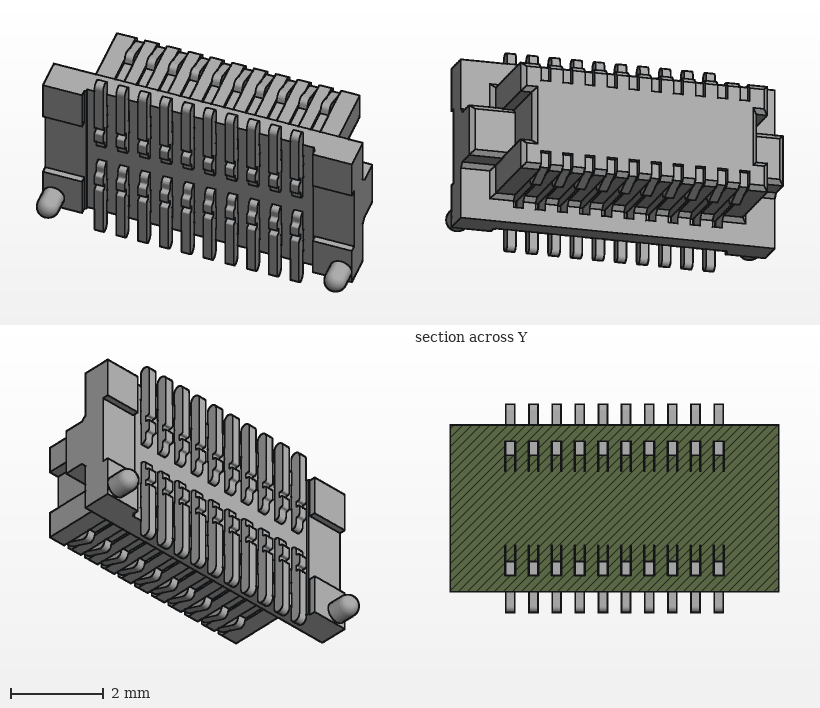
import cadquery as cq
import math


length = 7.1
flange_height = 3.61
flange_top_y = 0.7
shell_length = 5.58
shell_height = 2.4
shell_top_y = 2.705
edge_chamfer = 0.11
end_recess_depth = 0.25
end_recess_height = 1.09
wing_height = 1.135
wing_top_y = 1.405

foot_length = 0.9
foot_gap_height = 1.69
flange_back_y = 0.15
contact_recess_length = 5.21
contact_recess_y = 0.205

peg_diameter = 0.5
peg_end_y = -0.595
peg_z = -1.5

contacts_per_row = 10
row_span = 4.5
contact_pitch = row_span / (contacts_per_row - 1)
contact_width = 0.2
slot_clearance = 0.01
slot_inner_z = 0.8
slot_outer_z = 1.45

solder_face_y = -0.04
solder_thickness = 0.26
solder_tip_z = 2.25
notch_y = 0.065
notch_outer_z = 0.92
notch_inner_z = 0.795
pad_inner_z = 0.505
tail_end_z = 0.25
leg_outer_z = 1.15
leg_top_y = 2.585
leg_top_z = 1.135
bump_foot_y = 1.845
bump_corner_y = 1.92
bump_corner_z = 1.37

bump_radius = 0.13
tail_radius = 0.11
notch_outer_radius = 0.04
notch_inner_radius = 0.04
pad_step_radius = 0.05
notch_floor_radius = 0.02


def block(size_x, size_z, y_start, y_end, center_x=0.0, center_z=0.0):
    """Box given by its X and Z sizes and the Y levels it spans."""
    box = cq.Workplane("XY").box(size_x, y_end - y_start, size_z)
    return box.translate((center_x, (y_start + y_end) / 2, center_z))


def base_flare(size_x, size_z):
    """Skirt that widens at 45 degrees from a block of this size down to the flange."""
    skirt_top_y = flange_top_y + edge_chamfer
    skirt = block(size_x + 2 * edge_chamfer, size_z + 2 * edge_chamfer, contact_recess_y, skirt_top_y)
    return skirt.faces(">Y").chamfer(edge_chamfer)


def make_shell():
    """Upright plug body with a recess down the middle of each end."""
    shell = block(shell_length, shell_height, contact_recess_y, shell_top_y)
    for side in (-1, 1):
        recess_x = side * (shell_length - end_recess_depth) / 2
        recess = block(end_recess_depth, end_recess_height, contact_recess_y, shell_top_y, recess_x)
        shell = shell.cut(recess)
    return shell.faces(">Y").chamfer(edge_chamfer)


def make_housing():
    """Flange, end wings and shell, hollowed behind to leave a foot in each corner."""
    flange = block(length, flange_height, 0, flange_top_y)
    wings = block(length, wing_height, 0, wing_top_y).faces(">Y").chamfer(edge_chamfer)
    housing = flange.union(wings).union(make_shell())

    flares = base_flare(shell_length, shell_height).union(base_flare(length, wing_height))
    flare_limits = block(length, flange_height, 0, shell_top_y)
    housing = housing.union(flares.intersect(flare_limits))

    housing = housing.cut(block(length - 2 * foot_length, flange_height, 0, flange_back_y))
    housing = housing.cut(block(length, foot_gap_height, 0, flange_back_y))
    return housing.cut(block(contact_recess_length, flange_height, 0, contact_recess_y))


def make_peg(center_x):
    """Round pin with a hemispherical end, rooted in a foot."""
    radius = peg_diameter / 2
    dome_y = peg_end_y + radius
    dome_middle = (radius * math.sqrt(0.5), dome_y - radius * math.sqrt(0.5))
    half_section = (
        cq.Workplane("XY")
        .moveTo(0, flange_back_y)
        .lineTo(radius, flange_back_y)
        .lineTo(radius, dome_y)
        .threePointArc(dome_middle, (0, peg_end_y))
        .close()
    )
    pin = half_section.revolve(360, (0, 0, 0), (0, 1, 0))
    return pin.translate((center_x, 0, peg_z))


def make_slot():
    """Through slot that holds one upper-row contact, at X = 0."""
    slot_width = contact_width + 2 * slot_clearance
    slot_height = slot_outer_z - slot_inner_z
    return block(slot_width, slot_height, 0, shell_top_y, center_z=(slot_outer_z + slot_inner_z) / 2)


def make_contact():
    """Upper-row contact at X = 0: a solder tail along Z and a leg along Y with a latching bump."""
    solder_back_y = solder_face_y + solder_thickness
    tip_radius = solder_thickness / 2
    tip_start_z = solder_tip_z - tip_radius
    corners_after_tip = [
        (solder_face_y, notch_outer_z),
        (notch_y, notch_outer_z),
        (notch_y, notch_inner_z),
        (solder_face_y, notch_inner_z),
        (solder_face_y, pad_inner_z),
        (notch_y, pad_inner_z),
        (notch_y, tail_end_z),
        (solder_back_y, tail_end_z),
        (solder_back_y, slot_inner_z),
        (leg_top_y, slot_inner_z),
        (leg_top_y, leg_top_z),
        (bump_corner_y, bump_corner_z),
        (bump_foot_y, leg_outer_z),
        (solder_back_y, leg_outer_z),
    ]
    contact = (
        cq.Workplane("YZ")
        .moveTo(solder_back_y, tip_start_z)
        .threePointArc((solder_face_y + tip_radius, solder_tip_z), (solder_face_y, tip_start_z))
        .polyline(corners_after_tip, includeCurrent=True)
        .close()
        .extrude(contact_width / 2, both=True)
    )
    roundings = [
        (solder_face_y, notch_outer_z, notch_outer_radius),
        (notch_y, notch_outer_z, notch_floor_radius),
        (notch_y, notch_inner_z, notch_floor_radius),
        (solder_face_y, notch_inner_z, notch_inner_radius),
        (solder_face_y, pad_inner_z, pad_step_radius),
        (notch_y, pad_inner_z, pad_step_radius),
        (notch_y, tail_end_z, tail_radius),
        (bump_corner_y, bump_corner_z, bump_radius),
    ]
    for y, z, radius in roundings:
        corner = cq.selectors.NearestToPointSelector((0, y, z))
        contact = contact.edges("|X").edges(corner).fillet(radius)
    return contact


def both_rows(upper_item):
    """Copies of an upper-row item at every contact position in both rows."""
    row_start = -row_span / 2
    copies = []
    for index in range(contacts_per_row):
        upper_copy = upper_item.translate((row_start + index * contact_pitch, 0, 0))
        copies.append(upper_copy)
        copies.append(upper_copy.mirror("XY"))
    return copies


result = make_housing()

for slot in both_rows(make_slot()):
    result = result.cut(slot)

for contact in both_rows(make_contact()):
    result = result.union(contact)

peg_x = (length - peg_diameter) / 2
for center_x in (-peg_x, peg_x):
    result = result.union(make_peg(center_x))